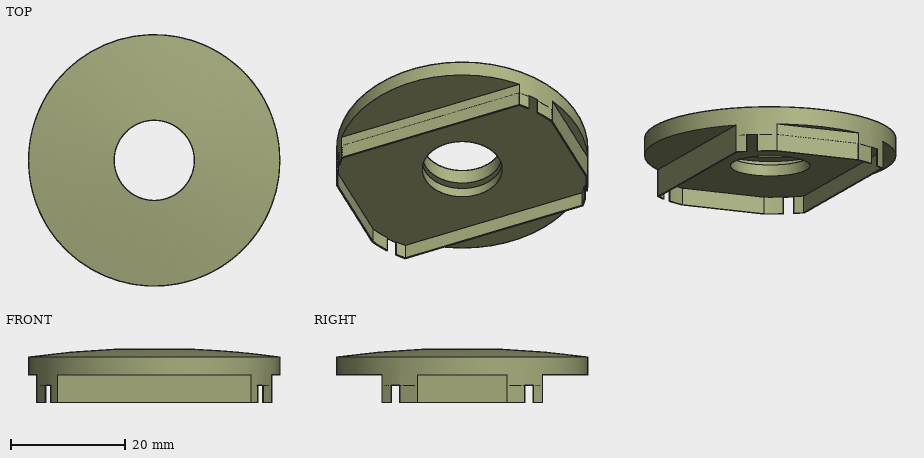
import cadquery as cq
import math

cap_radius = 22.0
total_height = 9.35
rim_bottom = 4.85
rim_top = 7.95
bore_radius = 7.0
cut_clearance = 0.45

skirt_length = 41.15
skirt_width = 28.05
skirt_wall = 0.2
pocket_depth = 3.0

slot_width = 1.85
slot_angle = 32.2
slot_radial_length = 7.05

groove_radius = 9.7
groove_bottom = 4.95
groove_top = 6.3


def disc(radius, bottom, top):
    return cq.Workplane("XY").workplane(offset=bottom).circle(radius).extrude(top - bottom)


def skirt_block(inset, height):
    """Trimmed disc standing on the base plane, inset from the outer skirt faces."""
    block = cq.Workplane("XY").rect(skirt_length - 2 * inset, skirt_width - 2 * inset).extrude(height)
    return block.intersect(disc(cap_radius - inset, 0, height))


def domed_cap():
    """Disc whose spherical top meets the bore edge at the full height."""
    dome_rise = total_height - rim_top
    center_offset = (bore_radius**2 + dome_rise**2 - cap_radius**2) / (2 * dome_rise)
    sphere_radius = math.hypot(cap_radius, center_offset)
    apex = rim_top + center_offset + sphere_radius
    mid_radius = cap_radius / 2
    mid_height = rim_top + center_offset + math.sqrt(sphere_radius**2 - mid_radius**2)
    return (
        cq.Workplane("XZ")
        .moveTo(0, rim_bottom)
        .lineTo(cap_radius, rim_bottom)
        .lineTo(cap_radius, rim_top)
        .threePointArc((mid_radius, mid_height), (0, apex))
        .close()
        .revolve(360, (0, 0, 0), (0, 1, 0))
    )


def corner_slot(angle):
    return (
        cq.Workplane("XY")
        .center(cap_radius, 0)
        .rect(slot_radial_length, slot_width)
        .extrude(pocket_depth)
        .rotate((0, 0, 0), (0, 0, 1), angle)
    )


result = domed_cap().union(skirt_block(0, rim_bottom))
result = result.cut(skirt_block(skirt_wall, pocket_depth))

for angle in (slot_angle, 180 - slot_angle, 180 + slot_angle, -slot_angle):
    result = result.cut(corner_slot(angle))

result = result.cut(disc(bore_radius, 0, total_height + cut_clearance))
result = result.cut(disc(groove_radius, groove_bottom, groove_top))